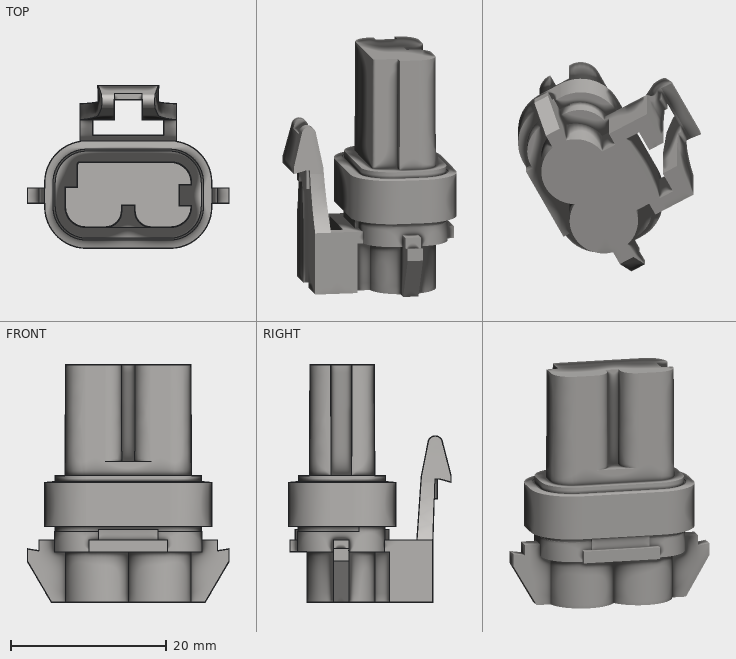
import cadquery as cq
import math

HEIGHT = 30.6
NECK_BOTTOM_Z = 6.5
NECK_STEP_Z = 9.1
COLLAR_BOTTOM_Z = 9.75
COLLAR_EDGE_Z = 15.42
COLLAR_LIP_Z = 15.53
FLANGE_TOP_Z = 16.3

FLAT_HALF_X = 5.4
FLAT_HALF_Y = 1.5
COLLAR_HALF_X = 10.77
COLLAR_HALF_Y = 6.93
LIP_INSET = 1.08
FLANGE_HALF_X = 9.4
FLANGE_HALF_Y = 5.6
NECK_HALF_X = 9.5
NECK_HALF_Y = 5.65
NECK_STEP = 0.1
NECK_STEP_REAR_Y = 2.3
LOWER_AXIS_Y = -0.12

PLUG_HALF_X = 8.15
PLUG_HALF_Y = 4.22
PLUG_CORNER_R = 2.65
PLUG_DRAFT = 0.3
KEY_X = 6.6
LEFT_KEY_Y = 1.0
LEFT_KEY_R = 0.4
RIGHT_KEY_TOP_Y = 1.23
RIGHT_KEY_BOTTOM_Y = -1.42
PIN_SLOT_HALF_X = 0.82
PIN_SLOT_REAR_Y = -1.4
PIN_SLOT_FLARE_R = 2.1
PIN_SLOT_FLOOR_Z = 18.1

BARREL_R = 4.4
BARREL_HALF_PITCH = 3.8
WING_THICKNESS = 2.0
WING_FOOT_X = 9.9
WING_TIP_X = 13.0
WING_STEP_X = 11.5
WING_TIP_BOTTOM_Z = 5.3
WING_TIP_TOP_Z = 6.9
WING_STEP_Z = 6.65
RIB_TOP_Z = 8.05
UPPER_RIB_HALF_X = 3.83
UPPER_RIB_HALF_Y = 6.05
UPPER_RIB_TOP_Z = 9.4
LOWER_RIB_HALF_X = 5.03
LOWER_RIB_FRONT_Y = -6.72

LATCH_BASE_HALF_X = 6.22
LATCH_BASE_FRONT_Y = 6.12
LATCH_BASE_REAR_Y = 11.7
WINDOW_HALF_X = 4.55
WINDOW_FRONT_Y = 7.65
ARM_FOOT_FRONT_Y = 9.62
ARM_TOP_Z = 15.37
ARM_TOP_REAR_Y = 11.93
HEAD_FRONT_Y = 10.18
HEAD_FRONT_Z = 16.2
HEAD_HALF_X = 3.94
HEAD_TOP_HALF_X = 3.4
HEAD_TOP_Z = 21.42
HEAD_TOP_Y = 11.98
HEAD_ROUND_Z = 20.8
HEAD_NOSE_FRONT_Y = 11.1
HEAD_NOSE_REAR_Y = 12.88
HOOK_TIP_Y = 14.05
HOOK_TIP_BOTTOM_Z = 15.44
HOOK_TIP_TOP_Z = 16.25
HOOK_ROOT_Y = 12.5
HOOK_ROOT_Z = 15.87
LATCH_SLOT_HALF_X = 1.8
BRIDGE_FRONT_Y = 12.2
BRIDGE_TOP_Z = 20.3
ARM_PAD_HALF_X = 3.3
ARM_PAD_REAR_Y = 12.27
ARM_PAD_BOTTOM_Z = 13.3


def block(x_range, y_range, z_range):
    """Axis-aligned box given by its limits."""
    sizes = [high - low for low, high in (x_range, y_range, z_range)]
    corner = (x_range[0], y_range[0], z_range[0])
    return cq.Workplane("XY").box(*sizes, centered=False).translate(corner)


def oblong_outline(plane, half_x, half_y):
    """Closed oblong whose four corners are quarter curves between fixed flats."""
    bulge = math.sqrt(0.5)
    arc_x = FLAT_HALF_X + (half_x - FLAT_HALF_X) * bulge
    arc_y = FLAT_HALF_Y + (half_y - FLAT_HALF_Y) * bulge
    return (
        plane.moveTo(-FLAT_HALF_X, -half_y)
        .lineTo(FLAT_HALF_X, -half_y)
        .threePointArc((arc_x, -arc_y), (half_x, -FLAT_HALF_Y))
        .lineTo(half_x, FLAT_HALF_Y)
        .threePointArc((arc_x, arc_y), (FLAT_HALF_X, half_y))
        .lineTo(-FLAT_HALF_X, half_y)
        .threePointArc((-arc_x, arc_y), (-half_x, FLAT_HALF_Y))
        .lineTo(-half_x, -FLAT_HALF_Y)
        .threePointArc((-arc_x, -arc_y), (-FLAT_HALF_X, -half_y))
        .close()
    )


def oblong(half_x, half_y, bottom_z, top_z):
    plane = cq.Workplane("XY").workplane(offset=bottom_z)
    return oblong_outline(plane, half_x, half_y).extrude(top_z - bottom_z)


def make_collar():
    """Collar with a slightly domed top rim and a shallow groove round the flange."""
    collar = oblong(COLLAR_HALF_X, COLLAR_HALF_Y, COLLAR_BOTTOM_Z, COLLAR_EDGE_Z)
    lip_x = COLLAR_HALF_X - LIP_INSET
    lip_y = COLLAR_HALF_Y - LIP_INSET
    plane = cq.Workplane("XY").workplane(offset=COLLAR_EDGE_Z)
    rim = oblong_outline(plane, COLLAR_HALF_X, COLLAR_HALF_Y)
    rim = rim.workplane(offset=COLLAR_LIP_Z - COLLAR_EDGE_Z)
    rim = oblong_outline(rim, lip_x, lip_y).loft(ruled=True)
    rim = rim.cut(oblong(lip_x, lip_y, COLLAR_EDGE_Z, COLLAR_LIP_Z))
    flange = oblong(FLANGE_HALF_X, FLANGE_HALF_Y, COLLAR_EDGE_Z, FLANGE_TOP_Z)
    return collar.union(rim).union(flange)


def make_neck():
    """Neck under the collar, its front part set back a little near the collar."""
    neck = oblong(NECK_HALF_X, NECK_HALF_Y, NECK_BOTTOM_Z, COLLAR_BOTTOM_Z)
    core = oblong(NECK_HALF_X - NECK_STEP, NECK_HALF_Y - NECK_STEP, NECK_STEP_Z, COLLAR_BOTTOM_Z)
    front = block(
        (-COLLAR_HALF_X, COLLAR_HALF_X),
        (-COLLAR_HALF_Y, NECK_STEP_REAR_Y),
        (NECK_STEP_Z, COLLAR_BOTTOM_Z),
    )
    return neck.cut(front.cut(core)).translate((0, LOWER_AXIS_Y, 0))


def quarter_bulge(radius):
    """Distance from a square corner's sides to the middle of its rounding arc."""
    return radius * (1 - math.sqrt(0.5))


def drafted_plug(with_pin_slot, top_z):
    """Plug with two side keyways, drafted inward from the flange up to top_z."""
    x, y, r = PLUG_HALF_X, PLUG_HALF_Y, PLUG_CORNER_R
    bulge = quarter_bulge(r)
    key_bulge = quarter_bulge(LEFT_KEY_R)
    outline = cq.Workplane("XY", origin=(0, 0, FLANGE_TOP_Z)).moveTo(-x + r, -y)
    if with_pin_slot:
        slot = PIN_SLOT_HALF_X
        flare = PIN_SLOT_FLARE_R
        slot_bulge = quarter_bulge(flare)
        outline = (
            outline.lineTo(-slot - flare, -y)
            .threePointArc((-slot - slot_bulge, -y + slot_bulge), (-slot, -y + flare))
            .lineTo(-slot, PIN_SLOT_REAR_Y)
            .lineTo(slot, PIN_SLOT_REAR_Y)
            .lineTo(slot, -y + flare)
            .threePointArc((slot + slot_bulge, -y + slot_bulge), (slot + flare, -y))
        )
    return (
        outline.lineTo(x - r, -y)
        .threePointArc((x - bulge, -y + bulge), (x, -y + r))
        .lineTo(x, RIGHT_KEY_BOTTOM_Y)
        .lineTo(KEY_X, RIGHT_KEY_BOTTOM_Y)
        .lineTo(KEY_X, RIGHT_KEY_TOP_Y)
        .lineTo(x, RIGHT_KEY_TOP_Y)
        .lineTo(x, y - r)
        .threePointArc((x - bulge, y - bulge), (x - r, y))
        .lineTo(-KEY_X + LEFT_KEY_R, y)
        .threePointArc((-KEY_X + key_bulge, y - key_bulge), (-KEY_X, y - LEFT_KEY_R))
        .lineTo(-KEY_X, LEFT_KEY_Y)
        .lineTo(-x, LEFT_KEY_Y)
        .lineTo(-x, -y + r)
        .threePointArc((-x + bulge, -y + bulge), (-x + r, -y))
        .close()
        .extrude(top_z - FLANGE_TOP_Z, taper=PLUG_DRAFT)
    )


def make_plug():
    """Full-height slotted plug, filled in below the floor of the flared pin slot."""
    slotted = drafted_plug(True, HEIGHT)
    foot = drafted_plug(False, PIN_SLOT_FLOOR_Z)
    return slotted.union(foot)


def make_barrels():
    """Two overlapping round barrels."""
    left = cq.Workplane("XY", origin=(-BARREL_HALF_PITCH, LOWER_AXIS_Y, 0)).circle(BARREL_R)
    right = cq.Workplane("XY", origin=(BARREL_HALF_PITCH, LOWER_AXIS_Y, 0)).circle(BARREL_R)
    return left.extrude(NECK_BOTTOM_Z).union(right.extrude(NECK_BOTTOM_Z))


def make_wings():
    """Thin plate across the body whose ends form the two stepped side wings."""
    right_edge = [
        (WING_FOOT_X, 0),
        (WING_TIP_X, WING_TIP_BOTTOM_Z),
        (WING_TIP_X, WING_TIP_TOP_Z),
        (WING_STEP_X, WING_STEP_Z),
        (WING_STEP_X, RIB_TOP_Z),
    ]
    left_edge = [(-x, z) for x, z in reversed(right_edge)]
    plate = cq.Workplane("XZ").polyline(right_edge + left_edge).close()
    return plate.extrude(WING_THICKNESS / 2, both=True).translate((0, LOWER_AXIS_Y, 0))


def make_ribs():
    upper = block(
        (-UPPER_RIB_HALF_X, UPPER_RIB_HALF_X),
        (-UPPER_RIB_HALF_Y, UPPER_RIB_HALF_Y),
        (NECK_BOTTOM_Z, UPPER_RIB_TOP_Z),
    )
    lower = block(
        (-LOWER_RIB_HALF_X, LOWER_RIB_HALF_X),
        (LOWER_RIB_FRONT_Y, 0),
        (NECK_BOTTOM_Z, RIB_TOP_Z),
    )
    return upper.union(lower)


def make_latch_base():
    """Windowed block behind the body, joined to the neck by a shelf and to the barrels by a web."""
    base_x = (-LATCH_BASE_HALF_X, LATCH_BASE_HALF_X)
    base = block(base_x, (LATCH_BASE_FRONT_Y, LATCH_BASE_REAR_Y), (0, RIB_TOP_Z))
    shelf = block(base_x, (0, LATCH_BASE_FRONT_Y), (NECK_BOTTOM_Z, RIB_TOP_Z))
    web = block((-WINDOW_HALF_X, WINDOW_HALF_X), (0, LATCH_BASE_FRONT_Y), (0, NECK_BOTTOM_Z))
    window = block((-WINDOW_HALF_X, WINDOW_HALF_X), (WINDOW_FRONT_Y, ARM_FOOT_FRONT_Y), (0, RIB_TOP_Z))
    return base.union(shelf).union(web).cut(window)


def make_latch_arm():
    """Arm and hooked head: side profile trimmed by the front outline."""
    side = (
        cq.Workplane("YZ")
        .moveTo(LATCH_BASE_REAR_Y, RIB_TOP_Z)
        .lineTo(ARM_FOOT_FRONT_Y, RIB_TOP_Z)
        .lineTo(HEAD_FRONT_Y, HEAD_FRONT_Z)
        .lineTo(HEAD_NOSE_FRONT_Y, HEAD_ROUND_Z)
        .threePointArc((HEAD_TOP_Y, HEAD_TOP_Z), (HEAD_NOSE_REAR_Y, HEAD_ROUND_Z))
        .lineTo(HOOK_TIP_Y, HOOK_TIP_TOP_Z)
        .lineTo(HOOK_TIP_Y, HOOK_TIP_BOTTOM_Z)
        .lineTo(HOOK_ROOT_Y, HOOK_ROOT_Z)
        .lineTo(ARM_TOP_REAR_Y, HOOK_ROOT_Z)
        .lineTo(ARM_TOP_REAR_Y, ARM_TOP_Z)
        .close()
        .extrude(LATCH_BASE_HALF_X, both=True)
    )
    outline = (
        cq.Workplane("XZ")
        .moveTo(HEAD_TOP_HALF_X, HEAD_TOP_Z)
        .lineTo(HEAD_HALF_X, ARM_TOP_Z)
        .tangentArcPoint((LATCH_BASE_HALF_X, RIB_TOP_Z), relative=False)
        .lineTo(0, RIB_TOP_Z)
        .lineTo(0, HEAD_TOP_Z)
        .close()
        .extrude(-HOOK_TIP_Y)
    )
    outline = outline.union(outline.mirror("YZ"))
    pads = block(
        (-ARM_PAD_HALF_X, ARM_PAD_HALF_X),
        (HEAD_NOSE_FRONT_Y, ARM_PAD_REAR_Y),
        (ARM_PAD_BOTTOM_Z, HOOK_ROOT_Z),
    )
    return side.intersect(outline).union(pads)


def make_latch():
    """Latch split by a central slot that leaves a bridge across the back of the head."""
    slot_x = (-LATCH_SLOT_HALF_X, LATCH_SLOT_HALF_X)
    slot = block(slot_x, (WINDOW_FRONT_Y, BRIDGE_FRONT_Y), (0, HEAD_TOP_Z))
    under_bridge = block(slot_x, (WINDOW_FRONT_Y, ARM_PAD_REAR_Y), (0, HOOK_ROOT_Z))
    over_bridge = block(slot_x, (WINDOW_FRONT_Y, HOOK_TIP_Y), (BRIDGE_TOP_Z, HEAD_TOP_Z))
    latch = make_latch_base().union(make_latch_arm())
    return latch.cut(slot).cut(under_bridge).cut(over_bridge)


result = (
    make_collar()
    .union(make_neck())
    .union(make_plug())
    .union(make_barrels())
    .union(make_wings())
    .union(make_ribs())
    .union(make_latch())
)